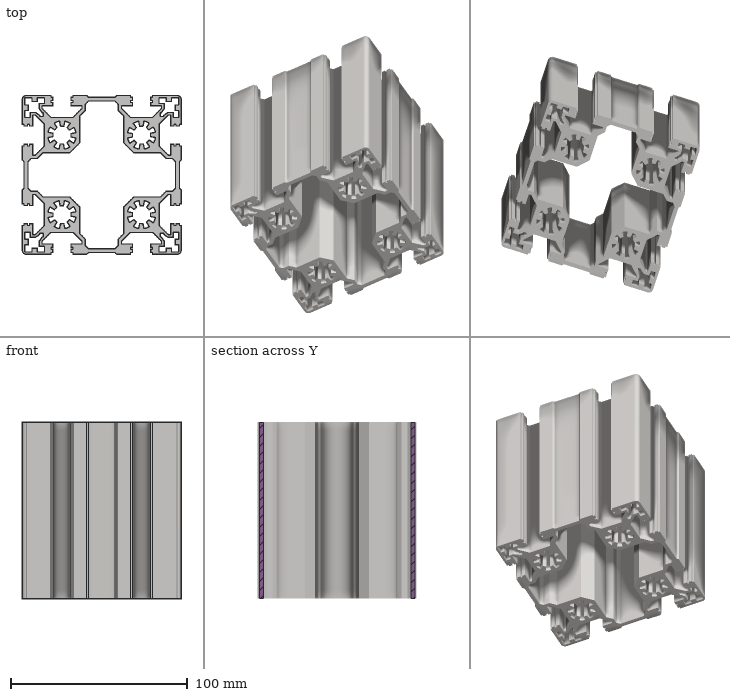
import cadquery as cq
import math

length = 100.0
side = 90.0
half_side = side / 2
corner_radius = 2.5
core_centre = half_side / 2
core_half_width = 10.1

slot_half_opening = 5.1
slot_half_width = 11.3
slot_half_floor = 6.3
slot_depth = core_centre - core_half_width
lip_thickness = 6.0
lip_step = 1.0
lip_groove_start = 3.0
lip_groove_end = lip_groove_start + lip_step

recess_depth = 1.0
recess_half_width = 7.5
wall_inner_depth = 3.3

chamber_chamfer = 1.7
core_chamfer = 5.8
arm_thickness = 2.2
throat_half_width = recess_half_width + chamber_chamfer

corner_wall = 1.5
corner_pocket_end = 12.5
corner_pocket_width = 4.5
corner_neck = 9.6
corner_neck_end = 7.5
corner_throat_x = 11.3
corner_throat_y = 9.9
corner_tip_start = 10.0
corner_tip = 11.9
corner_rib_start = 5.4
corner_rib_end = 8.6
corner_rib_height = 2.0

screw_bore_radius = 8.0
tooth_tip_radius = 5.0
tooth_root_half_width = 1.7
tooth_tip_half_width = 1.0
tooth_count = 8
tooth_turn = 1.0
tooth_overlap = 0.5


def prism(points):
    return cq.Workplane("XY").polyline(points).close().extrude(length)


def swapped(points):
    """Mirror an open path about the line x = y, keeping its end-to-end order."""
    return [(y, x) for x, y in reversed(points)]


def around_axis(shape):
    """Four copies of a shape, a quarter turn apart about the Z axis."""
    copies = shape
    for quarter in range(1, 4):
        copies = copies.union(shape.rotate((0, 0, 0), (0, 0, 1), 90 * quarter))
    return copies


def t_slot():
    """T-slot open to the +Y face, centred on X = 0."""
    stepped_half_opening = slot_half_opening + lip_step
    slope_start = slot_depth - (slot_half_width - slot_half_floor)
    right_half = [
        (stepped_half_opening, 0),
        (stepped_half_opening, lip_step),
        (slot_half_opening, lip_step),
        (slot_half_opening, lip_groove_start),
        (stepped_half_opening, lip_groove_start),
        (stepped_half_opening, lip_groove_end),
        (slot_half_opening, lip_groove_end),
        (slot_half_opening, lip_thickness),
        (slot_half_width, lip_thickness),
        (slot_half_width, slope_start),
        (slot_half_floor, slot_depth),
    ]
    right_half = [(x, half_side - depth) for x, depth in right_half]
    left_half = [(-x, y) for x, y in reversed(right_half)]
    return prism(right_half + left_half)


def face_recess():
    """Shallow recess with 45 degree flanks in the middle of the +Y face."""
    top_half_width = recess_half_width + recess_depth
    return prism([
        (top_half_width, half_side),
        (recess_half_width, half_side - recess_depth),
        (-recess_half_width, half_side - recess_depth),
        (-top_half_width, half_side),
    ])


def central_chamber():
    """Cross-shaped chamber bounded by the face walls and the four cores."""
    wall_y = half_side - wall_inner_depth
    core_x = core_centre - core_half_width
    slot_wall_sum = core_centre + core_half_width + core_centre - slot_half_floor
    arm_sum = slot_wall_sum - arm_thickness * math.sqrt(2)
    upper_path = [
        (recess_half_width, wall_y),
        (throat_half_width, wall_y - chamber_chamfer),
        (throat_half_width, arm_sum - throat_half_width),
        (core_x, arm_sum - core_x),
        (core_x, core_x + core_chamfer),
    ]
    quadrant = prism([(0, 0), (0, wall_y)] + upper_path + swapped(upper_path) + [(wall_y, 0)])
    return around_axis(quadrant)


def corner_chamber():
    """Ribbed hollow behind the +X +Y corner, symmetric about the diagonal."""
    rib_top = corner_wall + corner_rib_height
    half_path = [
        (corner_wall, corner_wall),
        (corner_rib_start, corner_wall),
        (corner_rib_start, rib_top),
        (corner_rib_end, rib_top),
        (corner_rib_end, corner_wall),
        (corner_pocket_end, corner_wall),
        (corner_pocket_end, corner_pocket_width),
        (corner_neck, corner_pocket_width),
        (corner_neck, corner_neck_end),
        (corner_throat_x, corner_throat_y),
        (corner_tip, corner_tip_start),
        (corner_tip, corner_tip),
    ]
    path = half_path + swapped(half_path[1:-1])
    return prism([(half_side - x, half_side - y) for x, y in path])


def screw_bore():
    """Bore of the core in the +X +Y quadrant, with tapered teeth left standing."""
    bore = cq.Workplane("XY").circle(screw_bore_radius).extrude(length)
    root_radius = screw_bore_radius + tooth_overlap
    tooth = prism([
        (tooth_tip_radius, -tooth_tip_half_width),
        (root_radius, -tooth_root_half_width),
        (root_radius, tooth_root_half_width),
        (tooth_tip_radius, tooth_tip_half_width),
    ])
    for index in range(tooth_count):
        bore = bore.cut(tooth.rotate((0, 0, 0), (0, 0, 1), tooth_turn + index * 360 / tooth_count))
    return bore.translate((core_centre, core_centre, 0))


profile = cq.Workplane("XY").rect(side, side).extrude(length).edges("|Z").fillet(corner_radius)
for slot_x in (-core_centre, core_centre):
    profile = profile.cut(around_axis(t_slot().translate((slot_x, 0, 0))))
profile = profile.cut(around_axis(face_recess()))
profile = profile.cut(central_chamber())
profile = profile.cut(around_axis(corner_chamber()))

bore_pair = screw_bore().union(screw_bore().mirror("YZ"))
result = profile.cut(bore_pair.union(bore_pair.mirror("XZ")))